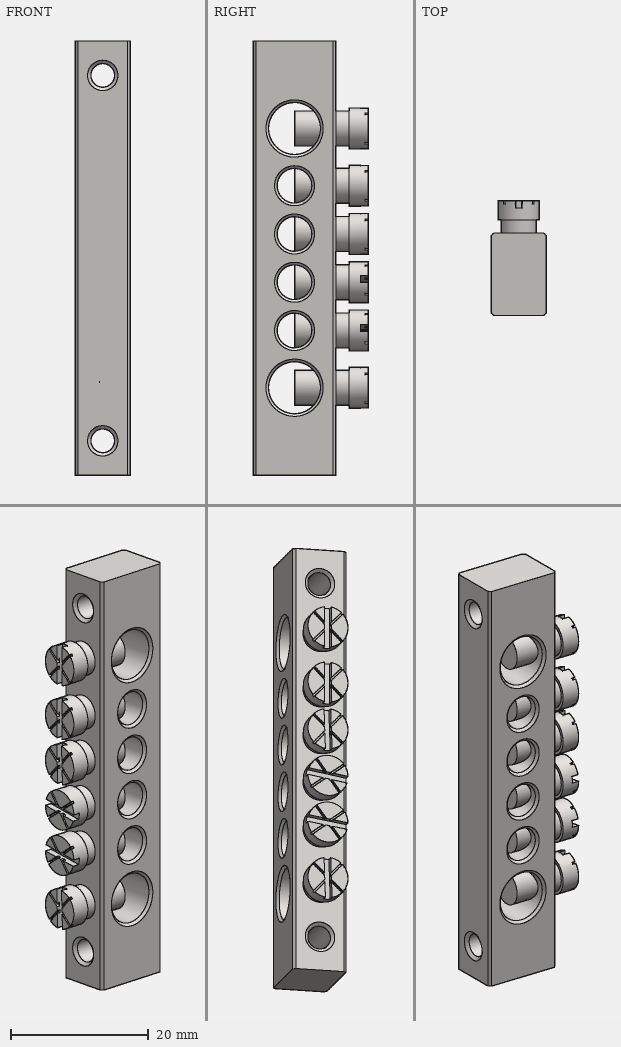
import cadquery as cq

BAR_WIDTH = 8.0
BAR_DEPTH = 12.0
BAR_HEIGHT = 63.0
BAR_CHAMFER = 0.4

MOUNT_DIAMETER = 3.4
MOUNT_CHAMFER = 0.5
MOUNT_END_DISTANCE = 5.0

SMALL_WIRE_DIAMETER = 5.0
LARGE_WIRE_DIAMETER = 7.5
WIRE_CHAMFER = 0.4
SMALL_WIRE_PITCH = 7.0
LARGE_WIRE_Z = 18.8

HEAD_DIAMETER = 6.0
HEAD_LENGTH = 2.8
NECK_LENGTH = 1.9
SHANK_DIAMETER = 5.1
SLOT_WIDTH = 1.0
SLOT_DEPTH = 1.1
CROSS_GROOVE_WIDTH = 0.3
CROSS_GROOVE_DEPTH = 0.5

BAR_BACK_Y = BAR_DEPTH / 2
SCREW_TIP_Y = 0.0
HEAD_BASE_Y = BAR_BACK_Y + NECK_LENGTH
HEAD_FACE_Y = HEAD_BASE_Y + HEAD_LENGTH

MOUNT_Z = BAR_HEIGHT / 2 - MOUNT_END_DISTANCE
SMALL_WIRE_Z = [SMALL_WIRE_PITCH * step for step in (-1.5, -0.5, 0.5, 1.5)]
LARGE_WIRE_Z_PAIR = [-LARGE_WIRE_Z, LARGE_WIRE_Z]

SCREW_PLACES = [
    (LARGE_WIRE_Z, 0),
    (SMALL_WIRE_Z[3], 0),
    (SMALL_WIRE_Z[2], 2),
    (SMALL_WIRE_Z[1], 81),
    (SMALL_WIRE_Z[0], 82),
    (-LARGE_WIRE_Z, 2),
]


def y_cylinder(diameter, start_y, end_y, z=0.0):
    """Cylinder along Y between two Y positions."""
    start = cq.Vector(0, start_y, z)
    cylinder = cq.Solid.makeCylinder(diameter / 2, end_y - start_y, start, cq.Vector(0, 1, 0))
    return cq.Workplane(cylinder)


def chamfered_hole(diameter, length, chamfer):
    """Cutter along Y, centred on the origin, flared by a 45 degree chamfer at both ends."""
    bore_radius = diameter / 2
    rim_radius = bore_radius + chamfer
    half = length / 2
    profile = [
        (0, -half),
        (rim_radius, -half),
        (bore_radius, -half + chamfer),
        (bore_radius, half - chamfer),
        (rim_radius, half),
        (0, half),
    ]
    return cq.Workplane("XY").polyline(profile).close().revolve(360, (0, 0, 0), (0, 1, 0))


def mounting_hole(z):
    """Cutter for a hole along Y through the bar."""
    return chamfered_hole(MOUNT_DIAMETER, BAR_DEPTH, MOUNT_CHAMFER).translate((0, 0, z))


def wire_hole(diameter, z):
    """Cutter for a hole along X through the bar."""
    cutter = chamfered_hole(diameter, BAR_WIDTH, WIRE_CHAMFER)
    return cutter.rotate((0, 0, 0), (0, 0, 1), 90).translate((0, 0, z))


def make_bar():
    """Bar with chamfered long edges, mounting holes, wire holes and screw holes."""
    bar = cq.Workplane("XY").box(BAR_WIDTH, BAR_DEPTH, BAR_HEIGHT).edges("|Z").chamfer(BAR_CHAMFER)
    for z in (-MOUNT_Z, MOUNT_Z):
        bar = bar.cut(mounting_hole(z))
    for z in SMALL_WIRE_Z:
        bar = bar.cut(wire_hole(SMALL_WIRE_DIAMETER, z))
    for z in LARGE_WIRE_Z_PAIR:
        bar = bar.cut(wire_hole(LARGE_WIRE_DIAMETER, z))
    for z in SMALL_WIRE_Z + LARGE_WIRE_Z_PAIR:
        bar = bar.cut(y_cylinder(SHANK_DIAMETER, SCREW_TIP_Y, BAR_BACK_Y, z))
    return bar


def face_groove(width, depth, angle):
    """Straight groove right across the screw head face, turned about Y from the Z direction."""
    groove = cq.Workplane("XY").box(width, depth, 2 * HEAD_DIAMETER)
    return groove.translate((0, HEAD_FACE_Y - depth / 2, 0)).rotate((0, 0, 0), (0, 1, 0), angle)


def make_screw(z, slot_angle):
    """Cheese-head clamp screw with a driver slot and a fine diagonal cross in its face."""
    shank = y_cylinder(SHANK_DIAMETER, SCREW_TIP_Y, HEAD_BASE_Y)
    head = y_cylinder(HEAD_DIAMETER, HEAD_BASE_Y, HEAD_FACE_Y)
    screw = shank.union(head)
    screw = screw.cut(face_groove(SLOT_WIDTH, SLOT_DEPTH, slot_angle))
    for diagonal in (-45, 45):
        screw = screw.cut(face_groove(CROSS_GROOVE_WIDTH, CROSS_GROOVE_DEPTH, slot_angle + diagonal))
    return screw.translate((0, 0, z))


terminal_bar = make_bar()
clamp_screws = [make_screw(z, slot_angle) for z, slot_angle in SCREW_PLACES]

bodies = [terminal_bar, *clamp_screws]
result = cq.Compound.makeCompound([body.solids().val() for body in bodies])